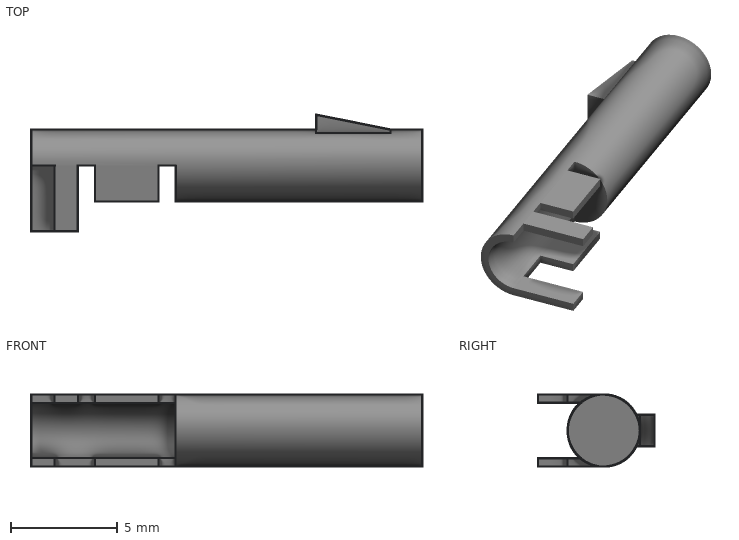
import cadquery as cq

length = 18.4
outer_radius = 3.4 / 2
wall = 0.4
inner_radius = outer_radius - wall
trough_length = 6.8

end_tab_width = 1.1
end_tab_reach = 3.1
wide_tab_start = 3.0
wide_tab_width = 3.0
wide_tab_reach = outer_radius

barb_start = 13.4
barb_length = 3.5
barb_width = 1.5
barb_peak = 2.4
barb_tail = outer_radius
barb_root = inner_radius


def make_barrel():
    return cq.Workplane("YZ").circle(outer_radius).extrude(length)


def cut_trough(body):
    bore = cq.Workplane("YZ").circle(inner_radius).extrude(trough_length)
    open_half = cq.Workplane("XY").box(
        trough_length, outer_radius, 2 * outer_radius, centered=(False, False, True)
    ).translate((0, -outer_radius, 0))
    return body.cut(bore).cut(open_half)


def make_tab(start, width, reach, side):
    """Flat tab from the rim at Z = side * outer_radius; side is +1 (upper) or -1 (lower)."""
    middle_z = side * (outer_radius - wall / 2)
    tab = cq.Workplane("XY").box(width, reach, wall, centered=(False, False, True))
    return tab.translate((start, -reach, middle_z))


def make_barb():
    barb_end = barb_start + barb_length
    profile = [
        (barb_start, barb_root),
        (barb_start, barb_peak),
        (barb_end, barb_tail),
        (barb_end, barb_root),
    ]
    return cq.Workplane("XY").polyline(profile).close().extrude(barb_width / 2, both=True)


result = cut_trough(make_barrel())

result = result.union(make_tab(0, end_tab_width, end_tab_reach, -1))
result = result.union(make_tab(end_tab_width, end_tab_width, end_tab_reach, 1))

for side in (-1, 1):
    result = result.union(make_tab(wide_tab_start, wide_tab_width, wide_tab_reach, side))

result = result.union(make_barb())